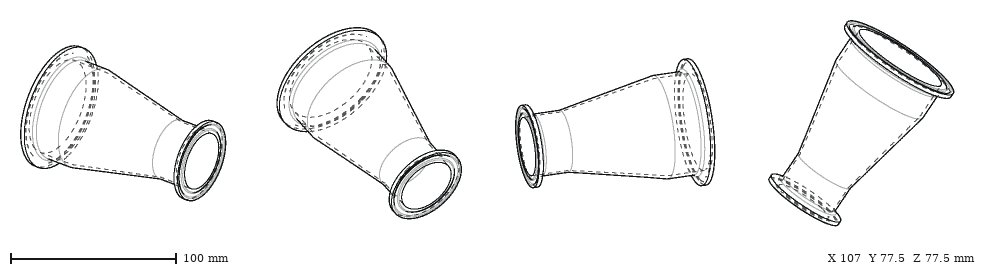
import cadquery as cq
import math

total_length = 107.0
end_length = 23.0

large_flange_radius = 77.5 / 2
large_tube_radius = 63.5 / 2
large_bore_radius = 59.5 / 2
small_flange_radius = 50.5 / 2
small_tube_radius = 38.1 / 2
small_bore_radius = 35.7 / 2

rim_thickness = 2.7
back_slope = math.radians(20)
root_radius = 2.0

groove_inset = 3.4
groove_lip_radius = 0.9
groove_bottom_radius = 1.3
groove_turn = math.radians(70)


def polar(center, radius, angle):
    """Point on a circle, with the angle measured from the X axis."""
    return (
        center[0] + radius * math.cos(angle),
        center[1] + radius * math.sin(angle),
    )


def ferrule_outer(profile, flange_radius, tube_radius):
    """Draw the flange rim, sloped back and root, ending on the tube surface."""
    sharp_root_x = rim_thickness + (flange_radius - tube_radius) * math.tan(back_slope)
    tangent_length = root_radius * math.tan((math.pi / 2 - back_slope) / 2)
    center = (sharp_root_x + tangent_length, tube_radius + root_radius)
    start_angle = math.pi + back_slope
    end_angle = 1.5 * math.pi
    return (
        profile.lineTo(0, flange_radius)
        .lineTo(rim_thickness, flange_radius)
        .lineTo(*polar(center, root_radius, start_angle))
        .threePointArc(
            polar(center, root_radius, (start_angle + end_angle) / 2),
            polar(center, root_radius, end_angle),
        )
    )


def end_tube(flange_radius, tube_radius, bore_radius):
    """Straight tube with its flange face at X = 0."""
    profile = cq.Workplane("XY").moveTo(0, bore_radius)
    profile = ferrule_outer(profile, flange_radius, tube_radius)
    profile = profile.lineTo(end_length, tube_radius).lineTo(end_length, bore_radius).close()
    body = profile.revolve(360, (0, 0, 0), (1, 0, 0))
    return body.cut(gasket_groove(flange_radius - groove_inset))


def gasket_groove(center_radius):
    """Ring cutter for the groove in a flange face at X = 0."""
    joined_radius = groove_lip_radius + groove_bottom_radius
    half_width = joined_radius * math.sin(groove_turn)
    bottom_center_x = groove_lip_radius - joined_radius * math.cos(groove_turn)
    bottom = (bottom_center_x, center_radius)
    inner_lip = (groove_lip_radius, center_radius - half_width)
    outer_lip = (groove_lip_radius, center_radius + half_width)
    profile = (
        cq.Workplane("XY")
        .moveTo(0, inner_lip[1])
        .threePointArc(
            polar(inner_lip, groove_lip_radius, math.pi - groove_turn / 2),
            polar(inner_lip, groove_lip_radius, math.pi - groove_turn),
        )
        .threePointArc(
            polar(bottom, groove_bottom_radius, 0),
            polar(outer_lip, groove_lip_radius, math.pi + groove_turn),
        )
        .threePointArc(
            polar(outer_lip, groove_lip_radius, math.pi + groove_turn / 2),
            (0, outer_lip[1]),
        )
        .close()
    )
    return profile.revolve(360, (0, 0, 0), (1, 0, 0))


def cone():
    """Tapered wall joining the two straight tubes."""
    cone_end = total_length - end_length
    return (
        cq.Workplane("XY")
        .polyline([
            (end_length, large_bore_radius),
            (end_length, large_tube_radius),
            (cone_end, small_tube_radius),
            (cone_end, small_bore_radius),
        ])
        .close()
        .revolve(360, (0, 0, 0), (1, 0, 0))
    )


large_end = end_tube(large_flange_radius, large_tube_radius, large_bore_radius)
small_end = (
    end_tube(small_flange_radius, small_tube_radius, small_bore_radius)
    .mirror("YZ")
    .translate((total_length, 0, 0))
)

result = large_end.union(cone()).union(small_end)